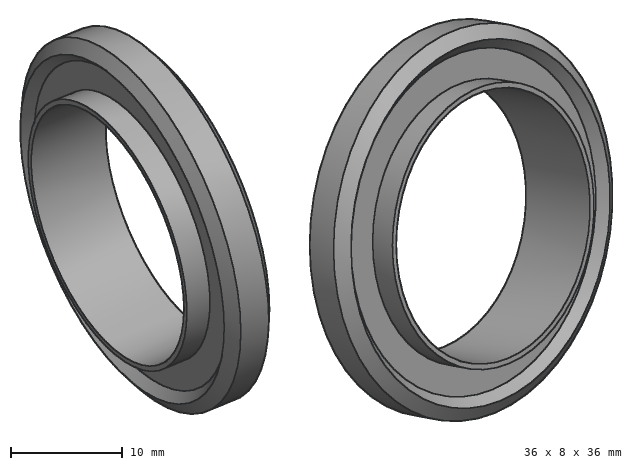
import cadquery as cq

outer_diameter = 36.0
rim_band_width = 3.0
ridge_diameter = 33.4
ridge_width = 4.85
recess_diameter = 31.57
recess_depth = 0.9
sleeve_diameter = 26.0
sleeve_width = 8.0
bore_diameter = 25.0

outer_radius = outer_diameter / 2
ridge_radius = ridge_diameter / 2
recess_radius = recess_diameter / 2
sleeve_radius = sleeve_diameter / 2
bore_radius = bore_diameter / 2
half_band = rim_band_width / 2
half_ridge = ridge_width / 2
half_web = half_ridge - recess_depth
half_sleeve = sleeve_width / 2

front_half = [
    (bore_radius, half_sleeve),
    (sleeve_radius, half_sleeve),
    (sleeve_radius, half_web),
    (recess_radius, half_web),
    (ridge_radius, half_ridge),
    (outer_radius, half_band),
]
mirrored_half = [(radius, -y) for radius, y in reversed(front_half)]

result = (
    cq.Workplane("XY")
    .polyline(front_half + mirrored_half)
    .close()
    .revolve(360, (0, 0, 0), (0, 1, 0))
)